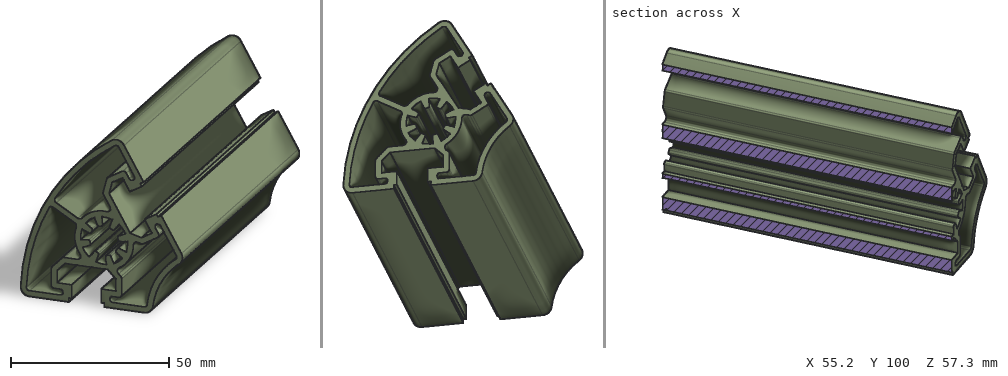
import cadquery as cq
import math

LENGTH = 100.0
SIDE = 45.0
WALL = 2.0
MID_RADIUS = 45.0
OUTER_RADIUS = MID_RADIUS + SIDE / 2
INNER_RADIUS = MID_RADIUS - SIDE / 2
SECTOR_ANGLE = 60.0
MIDDLE_ANGLE = 180.0 - SECTOR_ANGLE / 2
CORNER_FILLET = 3.0

MOUTH_WIDTH = 10.0
MOUTH_STEP_WIDTH = 12.0
MOUTH_STEP_DEPTH = 1.3
LIP_DEPTH = 6.0
SLOT_WIDTH = 20.0
SLOT_DEPTH = 12.9
SLOT_CHAMFER = 2.8

GROOVE_END_WALL = 3.0

CORE_RADIUS = 10.0
BORE_RADIUS = 8.0
TOOTH_COUNT = 8
TOOTH_TIP_RADIUS = 4.9
TOOTH_ROOT_WIDTH = 2.7
TOOTH_TIP_WIDTH = 1.7
TOOTH_TIP_FILLET = 0.5

CAVITY_FILLET = 0.99
CORE_FILLET = 1.2
CORE_FILLET_REACH = 2.0
TOUCHING = 0.01
OVERLAP = 1.0


def polar(radius, angle):
    return radius * math.cos(math.radians(angle)), radius * math.sin(math.radians(angle))


def extrude(outline):
    return outline.extrude(LENGTH / 2, both=True)


def plane_at(point=(0, 0)):
    return cq.Workplane("XZ", origin=(point[0], 0, point[1]))


def turn(shape, angle, center=(0, 0)):
    """Turn a shape counter-clockwise in the X-Z section about a centre."""
    x, z = center
    return shape.rotate((x, 0, z), (x, 1, z), -angle)


def on_both_faces(shape):
    """Join a shape made for the bottom face with its mirror image on the slanted face."""
    return shape.union(turn(shape.mirror("XY"), -SECTOR_ANGLE))


def ring_sector(wall):
    """Sector with all four sides moved inward by a wall thickness."""
    small = INNER_RADIUS + wall
    large = OUTER_RADIUS - wall

    def corners(radius):
        tilt = math.degrees(math.asin(wall / radius))
        return polar(radius, 180 - tilt), polar(radius, 180 - SECTOR_ANGLE + tilt)

    small_bottom, small_top = corners(small)
    large_bottom, large_top = corners(large)
    return extrude(
        plane_at()
        .moveTo(*small_bottom)
        .lineTo(*large_bottom)
        .threePointArc(polar(large, MIDDLE_ANGLE), large_top)
        .lineTo(*small_top)
        .threePointArc(polar(small, MIDDLE_ANGLE), small_bottom)
        .close()
    )


def chamfered_channel(width, bottom, top, chamfer):
    """Channel cross-section with its two deep corners cut at 45 degrees."""
    half = width / 2
    return extrude(
        plane_at((-MID_RADIUS, 0)).polyline([
            (-half, bottom),
            (half, bottom),
            (half, top - chamfer),
            (half - chamfer, top),
            (chamfer - half, top),
            (-half, top - chamfer),
        ]).close()
    )


def block(width, bottom, top):
    middle = plane_at((-MID_RADIUS, (bottom + top) / 2))
    return extrude(middle.rect(width, top - bottom))


def slot():
    inside = chamfered_channel(SLOT_WIDTH, LIP_DEPTH, SLOT_DEPTH, SLOT_CHAMFER)
    mouth = block(MOUTH_WIDTH, -OVERLAP, LIP_DEPTH + OVERLAP)
    step = block(MOUTH_STEP_WIDTH, -OVERLAP, MOUTH_STEP_DEPTH)
    return inside.union(mouth).union(step)


def slot_casing():
    """Material around a slot: the channel walls and the lips beside its mouth."""
    chamfer = SLOT_CHAMFER + WALL * (2 - math.sqrt(2))
    channel = chamfered_channel(SLOT_WIDTH + 2 * WALL, LIP_DEPTH - WALL, SLOT_DEPTH + WALL, chamfer)
    lips = block(MOUTH_WIDTH + 2 * GROOVE_END_WALL, 0, LIP_DEPTH)
    return channel.union(lips)


CORE_CENTER = polar(MID_RADIUS, MIDDLE_ANGLE)


def core():
    return extrude(plane_at(CORE_CENTER).circle(CORE_RADIUS))


def spoke():
    """Web from the core to the outer curved wall."""
    web_length = OUTER_RADIUS - MID_RADIUS
    web = extrude(plane_at(CORE_CENTER).center(web_length / 2, 0).rect(web_length, WALL))
    return turn(web, MIDDLE_ANGLE, CORE_CENTER)


def core_gap(edge):
    """Distance from the core's surface to an edge that runs along Y."""
    middle = edge.Center()
    return math.dist((middle.x, middle.z), CORE_CENTER) - CORE_RADIUS


def cavities():
    """The three hollow chambers left between walls, slots, core and spoke."""
    hollow = ring_sector(WALL).cut(on_both_faces(slot_casing())).cut(core()).cut(spoke())
    hollow = hollow.edges("|Y").filter(lambda edge: core_gap(edge) < TOUCHING).fillet(CORE_FILLET)
    corners = hollow.edges("|Y").filter(lambda edge: core_gap(edge) > CORE_FILLET_REACH)
    return corners.fillet(CAVITY_FILLET)


def toothed_bore():
    bore = extrude(plane_at(CORE_CENTER).circle(BORE_RADIUS))
    root = BORE_RADIUS + OVERLAP
    flare = (TOOTH_ROOT_WIDTH - TOOTH_TIP_WIDTH) / (BORE_RADIUS - TOOTH_TIP_RADIUS)
    root_half = (TOOTH_ROOT_WIDTH + OVERLAP * flare) / 2
    tip_half = TOOTH_TIP_WIDTH / 2
    tooth = extrude(
        plane_at(CORE_CENTER).polyline([
            (TOOTH_TIP_RADIUS, -tip_half),
            (root, -root_half),
            (root, root_half),
            (TOOTH_TIP_RADIUS, tip_half),
        ]).close()
    )
    tooth = tooth.faces("<X").edges("|Y").fillet(TOOTH_TIP_FILLET)
    for index in range(TOOTH_COUNT):
        bore = bore.cut(turn(tooth, MIDDLE_ANGLE + index * 360 / TOOTH_COUNT, CORE_CENTER))
    return bore


body = ring_sector(0).edges("|Y").fillet(CORNER_FILLET)
result = body.cut(cavities()).cut(on_both_faces(slot())).cut(toothed_bore())